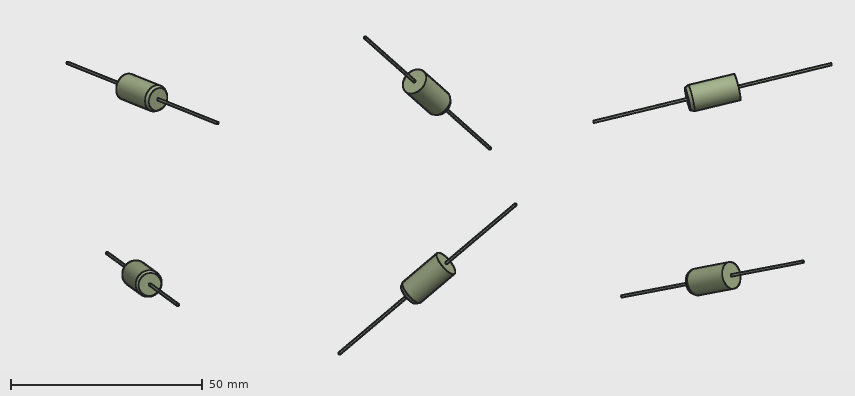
import cadquery as cq

total_length = 64.25
body_diameter = 7.15
body_length = 13.4
lead_diameter = 0.7

taper_length = 1.0
taper_depth = 0.5


def centred_cylinder(diameter, length):
    """Cylinder along the X axis, centred on the origin."""
    start = cq.Workplane("YZ").workplane(offset=-length / 2)
    return start.circle(diameter / 2).extrude(length)


def make_body():
    """Cylindrical body whose +X end narrows in a short cone."""
    end_diameter = body_diameter - 2 * taper_depth
    straight_end = body_length / 2 - taper_length
    profile = (
        cq.Workplane("XZ")
        .moveTo(-body_length / 2, 0)
        .lineTo(-body_length / 2, body_diameter / 2)
        .lineTo(straight_end, body_diameter / 2)
        .lineTo(body_length / 2, end_diameter / 2)
        .lineTo(body_length / 2, 0)
        .close()
    )
    return profile.revolve(360, (0, 0, 0), (1, 0, 0))


lead_wire = centred_cylinder(lead_diameter, total_length)

result = make_body().union(lead_wire)